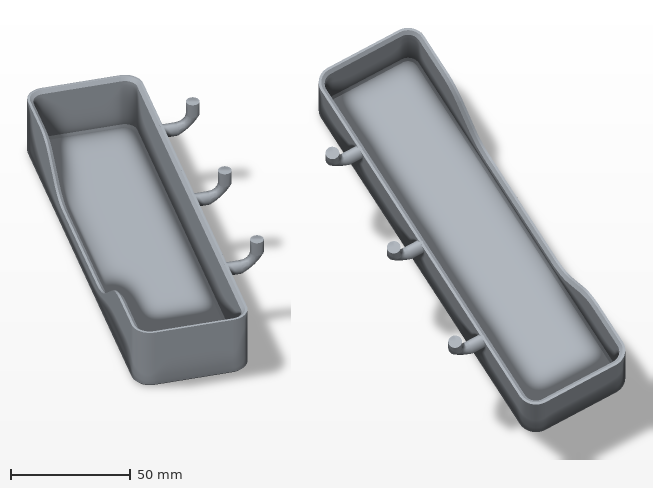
import cadquery as cq
import math

length = 180.0
depth = 50.0
tray_height = 27.9
corner_radius = 8.0
wall = 2.5
floor_thickness = 3.0
base_chamfer = 1.0
floor_chamfer = 1.0
rim_chamfer = 1.5

scoop_depth = 18.0
scoop_top_half_width = 56.0
scoop_slope = math.radians(40)
scoop_radius = 20.0

total_depth = 65.9
total_height = 38.0
hook_count = 3
hook_pitch = 50.8
hook_diameter = 5.8
stub_length = 6.0
tip_length = 6.5
waist_width = 4.9
waist_thickness = 4.1
waist_offset = 1.0


def rounded_block(inset, bottom, top):
    """Rounded rectangular block inset from the outside of the tray."""
    return (
        cq.Workplane("XY", origin=(0, depth / 2, bottom))
        .rect(length - 2 * inset, depth - 2 * inset)
        .extrude(top - bottom)
        .edges("|Z").fillet(corner_radius - inset)
    )


def make_scoop():
    """Cutter for the low front edge, reaching just through the front wall."""
    bottom_z = tray_height - scoop_depth
    bottom_half_width = scoop_top_half_width - scoop_depth / math.tan(scoop_slope)
    tangent_length = scoop_radius * math.tan(scoop_slope / 2)
    run = tangent_length * math.cos(scoop_slope)
    rise = tangent_length * math.sin(scoop_slope)
    right_side = [
        (scoop_top_half_width + tangent_length, tray_height),
        (scoop_top_half_width - run, tray_height - rise),
        (bottom_half_width + run, bottom_z + rise),
        (bottom_half_width - tangent_length, bottom_z),
    ]
    left_side = [(-x, z) for x, z in reversed(right_side)]
    cut_width = 2 * wall
    return (
        cq.Workplane("XZ", origin=(0, cut_width, 0))
        .moveTo(*right_side[0])
        .radiusArc(right_side[1], -scoop_radius)
        .lineTo(*right_side[2])
        .radiusArc(right_side[3], scoop_radius)
        .lineTo(*left_side[0])
        .radiusArc(left_side[1], scoop_radius)
        .lineTo(*left_side[2])
        .radiusArc(left_side[3], -scoop_radius)
        .close()
        .extrude(2 * cut_width)
    )


def make_tray():
    outside = rounded_block(0, 0, tray_height).faces("<Z").chamfer(base_chamfer)
    cavity = rounded_block(wall, floor_thickness, tray_height).faces("<Z").chamfer(floor_chamfer)
    tray = outside.cut(cavity).cut(make_scoop())
    back_inner_rim = cq.NearestToPointSelector((0, depth - wall, tray_height))
    return tray.edges(back_inner_rim).chamfer(rim_chamfer)


def make_hook(x):
    """Horizontal stub, slightly waisted elbow and upright tip."""
    radius = hook_diameter / 2
    x_axis = cq.Vector(1, 0, 0)
    backward = cq.Vector(0, 1, 0)
    upward = cq.Vector(0, 0, 1)
    stub_root = cq.Vector(x, depth - wall / 2, tray_height - radius)
    stub_end = cq.Vector(x, depth + stub_length, tray_height - radius)
    tip_start = cq.Vector(x, total_depth - radius, total_height - tip_length)

    outward = (backward - upward).normalized()
    waist_centre = (stub_end + tip_start) * 0.5 + outward * waist_offset
    waist_normal = (backward + upward).normalized()
    waist = cq.Wire.makeEllipse(
        waist_width / 2, waist_thickness / 2, waist_centre, waist_normal, x_axis
    )

    def circle(centre, normal):
        return cq.Wire.makeEllipse(radius, radius, centre, normal, x_axis)

    elbow = cq.Solid.makeLoft([circle(stub_end, backward), waist, circle(tip_start, upward)])
    stub = cq.Solid.makeCylinder(radius, (stub_end - stub_root).Length, stub_root, backward)
    tip = cq.Solid.makeCylinder(radius, tip_length, tip_start, upward)
    return cq.Workplane(stub).union(cq.Workplane(elbow)).union(cq.Workplane(tip))


result = make_tray()
for index in range(hook_count):
    hook_x = (index - (hook_count - 1) / 2) * hook_pitch
    result = result.union(make_hook(hook_x))